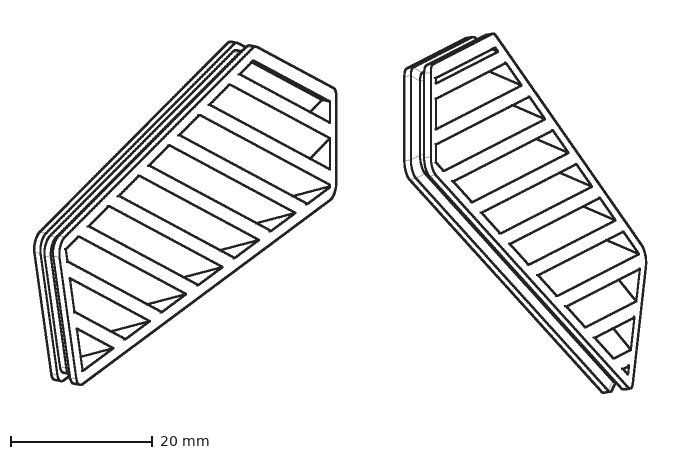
import cadquery as cq
import math

thickness = 4.0
frame_width = thickness / 2
corner_radius = thickness / 2
lip_width = thickness / 4
groove_depth = thickness / 4

half_length = 42.6
end_height = 16.2
apex_y = 17.5
apex_z = 32.1
tip_y = -43.1
tip_z = 24.2
heel_y = -36.95
outline = [
    (half_length, 0),
    (half_length, end_height),
    (apex_y, apex_z),
    (tip_y, tip_z),
    (heel_y, 0),
]

slat_width = thickness / 2
slat_pitch = 1.5 * thickness
slat_count = 9
slat_length = 3 * half_length
slat_lean = thickness
first_slat_z = 14.2
slat_angle = math.atan2(apex_z - end_height, half_length - apex_y)


def inset_outline(inset):
    """Polygon moved inwards by the inset, with sharp corners."""
    wire = cq.Workplane("YZ").polyline(outline).close()
    return wire.offset2D(-inset, "intersection") if inset else wire


def plate(x_start, depth, inset, radius=0):
    """Flat plate following the outline, optionally with rounded corners."""
    body = inset_outline(inset).extrude(depth)
    if radius:
        body = body.edges("|X").fillet(radius)
    return body.translate((x_start, 0, 0))


def rounded_face_wire(inset, x):
    """Rounded outline at one position through the thickness."""
    face = plate(x, thickness, inset, corner_radius).faces("<X").val()
    return face.outerWire()


def grooved_body():
    """Two full-size lips around a groove with one square and one sloping wall."""
    slope_start = 2 * lip_width
    slope_end = 3 * lip_width
    front_lip = plate(0, lip_width, 0, corner_radius)
    floor = plate(lip_width, lip_width, groove_depth, corner_radius)
    slope = cq.Solid.makeLoft(
        [rounded_face_wire(groove_depth, slope_start), rounded_face_wire(0, slope_end)],
        True,
    )
    back_lip = plate(slope_end, lip_width, 0, corner_radius)
    return front_lip.union(floor).union(cq.Workplane(slope)).union(back_lip)


def slat(index):
    """Leaning parallelogram bar, extruded along the sloping edge direction."""
    along = cq.Vector(0, -math.cos(slat_angle), math.sin(slat_angle))
    anchor = cq.Vector(0, half_length - frame_width, first_slat_z)
    plane = cq.Plane(origin=anchor - along * (slat_length / 2), xDir=(1, 0, 0), normal=along)
    across = cq.Vector(0, math.sin(slat_angle), math.cos(slat_angle))
    upward = math.copysign(1, plane.yDir.dot(across))
    upper = -index * slat_pitch
    lower = upper - slat_width
    section = [
        (0, upward * lower),
        (0, upward * upper),
        (thickness, upward * (upper + slat_lean)),
        (thickness, upward * (lower + slat_lean)),
    ]
    return cq.Workplane(plane).polyline(section).close().extrude(2 * slat_length)


opening = plate(0, thickness, frame_width)
result = grooved_body().cut(opening)
for slat_index in range(slat_count):
    result = result.union(slat(slat_index).intersect(opening))